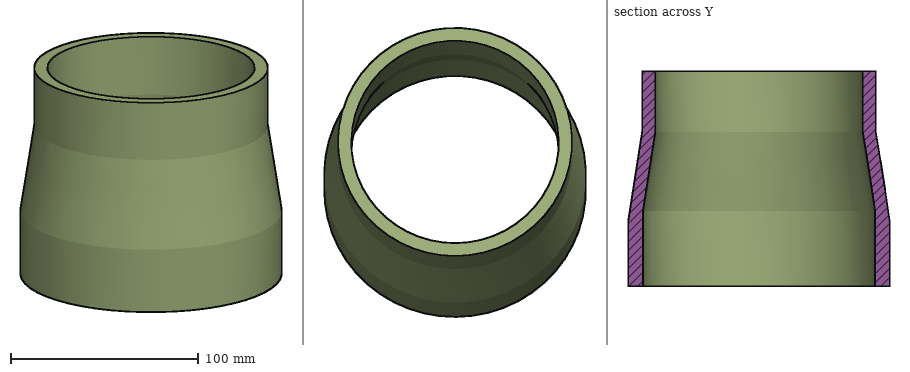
import cadquery as cq

total_height = 115.0

large_diameter = 140.0
large_wall = 8.0
large_outer_length = 35.0
large_bore_length = 40.3

small_diameter = 125.0
small_wall = 7.1
small_outer_length = 32.0
small_bore_length = 32.4

large_radius = large_diameter / 2
small_radius = small_diameter / 2


def tapered_solid(bottom_radius, bottom_length, top_radius, top_length):
    """Revolve a bottom cylinder, a taper and a top cylinder over the full height."""
    return (
        cq.Workplane("XZ")
        .lineTo(bottom_radius, 0)
        .lineTo(bottom_radius, bottom_length)
        .lineTo(top_radius, total_height - top_length)
        .lineTo(top_radius, total_height)
        .lineTo(0, total_height)
        .close()
        .revolve(360, (0, 0, 0), (0, 1, 0))
    )


body = tapered_solid(large_radius, large_outer_length, small_radius, small_outer_length)

bore = tapered_solid(
    large_radius - large_wall,
    large_bore_length,
    small_radius - small_wall,
    small_bore_length,
)

result = body.cut(bore)